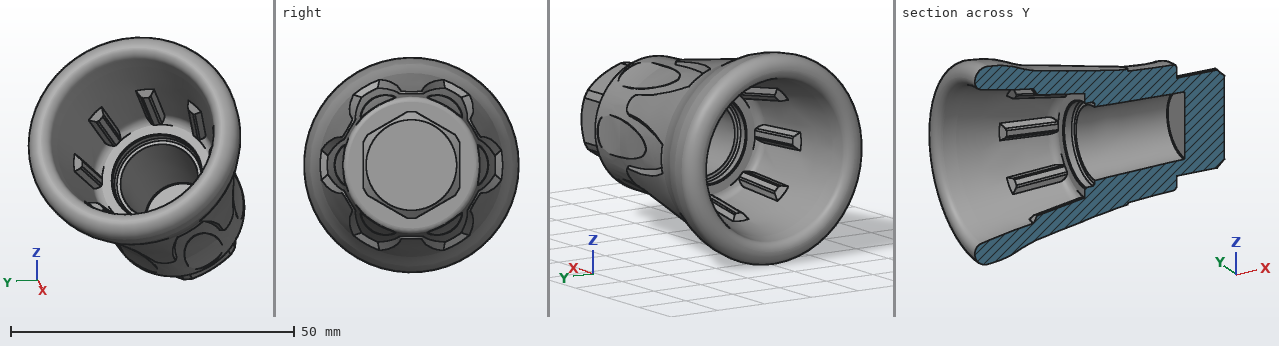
import cadquery as cq
import math


total_length = 50.0
body_length = 40.5

rim_radius = 18.99
rim_round = 2.5
bulge_start_x, bulge_start_r = 5.0, 18.72
bulge_mid_x, bulge_mid_r = 6.6, 18.38
bulge_end_x, bulge_end_r = 8.0, 17.85
flare_mid_x, flare_mid_r = 10.1, 16.97
flare_end_x, flare_end_r = 12.3, 16.25

neck_start_x, neck_start_r = 13.9, 14.85
neck_mid_x, neck_mid_r = 26.0, 13.08
neck_end_r = 12.05
neck_end_round = 0.9

grip_band_end_x = 13.1
grip_end_x, grip_end_r = 31.5, 12.82
grip_slope = (flare_end_r - grip_end_r) / (grip_end_x - flare_end_x)
grip_band_end_r = flare_end_r - grip_slope * (grip_band_end_x - flare_end_x)

finger_count = 6
finger_plane = 13.3
finger_draft = 22.0
finger_root_x, finger_root_half = 11.8, 7.4
finger_mid_x, finger_mid_half = 20.5, 3.65
finger_tip_radius = 1.85
finger_tip_x = 30.5
finger_base_plane = 12.0
finger_top_plane = 16.5

scoop_start_x = 21.6
scoop_end_x = 39.1
scoop_nose_x, scoop_nose_half = 25.2, 2.3
scoop_nose_tangent = (0.5, 1)
scoop_tail_tangent = (0, -1)
scoop_widest_x = 34.0
scoop_half_width = 3.55
scoop_crown_radius = 29.0
scoop_floor_start_r = 13.52
scoop_bend_start_x, scoop_bend_start_r = 29.7, 12.3
scoop_bend_end_x = 32.3
scoop_floor_r = 11.96
scoop_clearance_r = 16.0

hex_sides = 6
hex_across_flats = 17.0
hex_corner_radius = 9.4
hex_end_radius = 8.0
hex_chamfer_length = 1.5
hex_start_x = 34.0

mouth_edge_r = rim_radius - rim_round
mouth_round_x, mouth_round_r = 1.4, 14.65
mouth_mid_x, mouth_mid_r = 0.45, 15.2
throat_x, throat_r = 3.8, 14.15
cavity_end_x, cavity_end_r = 20.5, 11.35
floor_x = 22.0
floor_r = 9.95
floor_round_mid_x, floor_round_mid_r = 21.5, 10.87
seat_radius = 8.0
seat_chamfer = 0.2
seat_depth = 2.0
seat_corner = 0.35
bore_radius = 7.0
bore_end_radius = 6.4
bore_corner = 0.15
bore_end_x = 42.0

rib_count = 8
rib_tip_x = 12.5
rib_tip_lean = 0.55
rib_start_x = 11.4
rib_tip_ridge_r = 11.5
rib_height = 0.95
rib_base_half = 1.55
rib_ridge_half = 0.75
rib_ridge_chamfer = 0.2
rib_root = 0.9
wall_slope = (throat_r - cavity_end_r) / (cavity_end_x - throat_x)


def revolve_about_x(profile):
    return profile.close().revolve(360, (0, 0, 0), (1, 0, 0))


def around_axis(shape, count):
    """Copies of a shape, evenly turned about the X axis."""
    step = 360.0 / count
    return [shape.rotate((0, 0, 0), (1, 0, 0), i * step) for i in range(count)]


def bell_body():
    round_mid = rim_round * (1 - math.sqrt(0.5))
    profile = (
        cq.Workplane("XY")
        .lineTo(0, mouth_edge_r)
        .threePointArc((round_mid, rim_radius - round_mid), (rim_round, rim_radius))
        .lineTo(bulge_start_x, bulge_start_r)
        .threePointArc((bulge_mid_x, bulge_mid_r), (bulge_end_x, bulge_end_r))
        .threePointArc((flare_mid_x, flare_mid_r), (flare_end_x, flare_end_r))
        .lineTo(grip_end_x, grip_end_r)
        .lineTo(body_length, grip_end_r)
        .lineTo(body_length, 0)
    )
    return revolve_about_x(profile)


def grip_finger():
    """One raised finger pointing along +Z, tapering towards its top."""
    spread = (finger_plane - finger_base_plane) * math.tan(math.radians(finger_draft))
    root_half = finger_root_half + spread
    mid_half = finger_mid_half + spread
    tip_half = finger_tip_radius + spread
    tip_center_x = finger_tip_x - finger_tip_radius
    outline = (
        cq.Workplane("XY", origin=(0, 0, finger_base_plane))
        .moveTo(finger_root_x - spread, -root_half)
        .threePointArc((finger_mid_x, -mid_half), (tip_center_x, -tip_half))
        .threePointArc((tip_center_x + tip_half, 0), (tip_center_x, tip_half))
        .threePointArc((finger_mid_x, mid_half), (finger_root_x - spread, root_half))
        .close()
    )
    return outline.extrude(finger_top_plane - finger_base_plane, taper=finger_draft)


def neck_relief():
    """Cutter that lowers the neck everywhere except at the fingers."""
    relief = revolve_about_x(
        cq.Workplane("XY")
        .moveTo(grip_band_end_x, grip_band_end_r)
        .lineTo(neck_start_x, neck_start_r)
        .threePointArc((neck_mid_x, neck_mid_r), (body_length, neck_end_r))
        .lineTo(body_length, finger_top_plane)
        .lineTo(grip_band_end_x, finger_top_plane)
    )
    for finger in around_axis(grip_finger(), finger_count):
        relief = relief.cut(finger)
    return relief


def thumb_scoop():
    """Cutter for one scoop on the -Y side, with a gently crowned floor."""
    outline = (
        cq.Workplane("XZ")
        .moveTo(scoop_start_x, 0)
        .spline(
            [(scoop_nose_x, scoop_nose_half), (scoop_widest_x, scoop_half_width), (scoop_end_x, 0)],
            tangents=[scoop_nose_tangent, scoop_tail_tangent],
            includeCurrent=True,
        )
        .mirrorX()
        .extrude(scoop_clearance_r)
    )
    crown_axis_y = scoop_crown_radius - scoop_floor_r
    floor = (
        cq.Workplane("XY")
        .moveTo(scoop_start_x, crown_axis_y)
        .lineTo(scoop_start_x, -scoop_floor_start_r)
        .lineTo(scoop_bend_start_x, -scoop_bend_start_r)
        .lineTo(scoop_bend_end_x, -scoop_floor_r)
        .lineTo(scoop_end_x, -scoop_floor_r)
        .lineTo(scoop_end_x, crown_axis_y)
        .close()
        .revolve(360, (0, crown_axis_y, 0), (1, crown_axis_y, 0))
    )
    return outline.cut(floor)


def hex_drive():
    """Hexagon with a flat facing -Y, overlapping the body end."""
    corner_angle = 180.0 / hex_sides
    across_corners = hex_across_flats / math.cos(math.radians(corner_angle))
    prism = (
        cq.Workplane("YZ", origin=(hex_start_x, 0, 0))
        .transformed(rotate=(0, 0, corner_angle))
        .polygon(hex_sides, across_corners)
        .extrude(total_length - hex_start_x)
    )
    turned = revolve_about_x(
        cq.Workplane("XY")
        .moveTo(hex_start_x, 0)
        .lineTo(hex_start_x, hex_corner_radius)
        .lineTo(total_length - hex_chamfer_length, hex_corner_radius)
        .lineTo(total_length, hex_end_radius)
        .lineTo(total_length, 0)
    )
    return prism.intersect(turned)


def cavity():
    seat_end_x = floor_x + seat_depth
    profile = (
        cq.Workplane("XY")
        .lineTo(0, mouth_edge_r)
        .threePointArc((mouth_mid_x, mouth_mid_r), (mouth_round_x, mouth_round_r))
        .lineTo(throat_x, throat_r)
        .lineTo(cavity_end_x, cavity_end_r)
        .threePointArc((floor_round_mid_x, floor_round_mid_r), (floor_x, floor_r))
        .lineTo(floor_x, seat_radius + seat_chamfer)
        .lineTo(floor_x + seat_chamfer, seat_radius)
        .lineTo(seat_end_x - seat_corner, seat_radius)
        .lineTo(seat_end_x, seat_radius - seat_corner)
        .lineTo(seat_end_x, bore_radius)
        .lineTo(bore_end_x - bore_corner, bore_end_radius)
        .lineTo(bore_end_x, bore_end_radius - bore_corner)
        .lineTo(bore_end_x, 0)
    )
    return revolve_about_x(profile)


def inner_rib():
    """One rib along +Z, from its free tip to the cavity floor."""
    start_ridge_r = rib_tip_ridge_r + wall_slope * (rib_tip_x - rib_start_x)
    end_ridge_r = rib_tip_ridge_r - wall_slope * (floor_x - rib_tip_x)
    flank = (rib_base_half - rib_ridge_half) / rib_height
    root_half = rib_base_half + flank * rib_root

    def section(plane, ridge_r):
        wall_r = ridge_r + rib_height + rib_root
        shoulder_r = ridge_r + rib_ridge_chamfer
        shoulder_half = rib_ridge_half + flank * rib_ridge_chamfer
        flat_half = rib_ridge_half - rib_ridge_chamfer
        return plane.polyline([
            (-root_half, wall_r),
            (-shoulder_half, shoulder_r),
            (-flat_half, ridge_r),
            (flat_half, ridge_r),
            (shoulder_half, shoulder_r),
            (root_half, wall_r),
        ]).close()

    start = section(cq.Workplane("YZ", origin=(rib_start_x, 0, 0)), start_ridge_r)
    foot = start.workplane(offset=floor_x - rib_start_x)
    rib = section(foot, end_ridge_r).loft(ruled=True)

    lean_per_r = rib_tip_lean / rib_height
    outer_r = start_ridge_r + rib_height + rib_root
    inner_r = rib_tip_ridge_r - rib_height
    tip_cut = (
        cq.Workplane("XZ")
        .polyline([
            (0, inner_r),
            (rib_tip_x + lean_per_r * (rib_tip_ridge_r - inner_r), inner_r),
            (rib_tip_x - lean_per_r * (outer_r - rib_tip_ridge_r), outer_r),
            (0, outer_r),
        ])
        .close()
        .extrude(root_half, both=True)
    )
    return rib.cut(tip_cut)


result = bell_body().cut(neck_relief())
result = result.faces(">X").edges().fillet(neck_end_round)
for scoop in around_axis(thumb_scoop(), finger_count):
    result = result.cut(scoop)
result = result.union(hex_drive()).cut(cavity())
for rib in around_axis(inner_rib(), rib_count):
    result = result.union(rib)